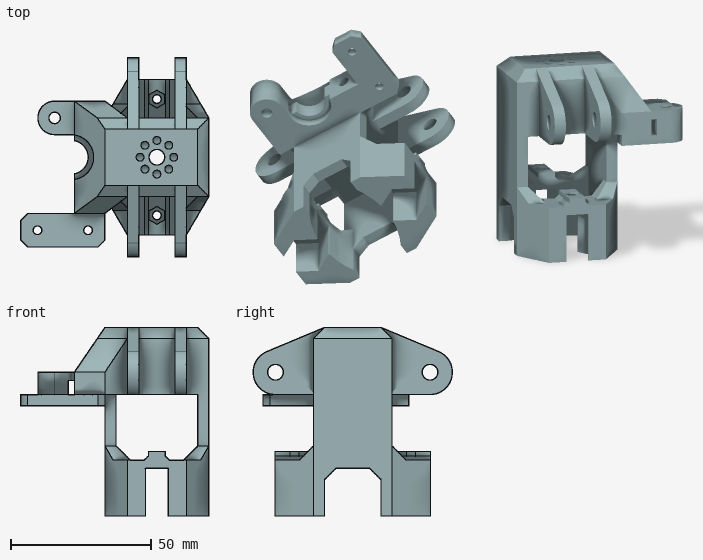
import cadquery as cq
import math

total_height = 67.25
body_half_x = 18.5
body_half_y = 14.0
wall = 4.0
inner_half_x = body_half_x - wall

head_height = 24.0
head_bottom = total_height - head_height
head_bevel = 4.0
head_top_half_y = body_half_y - head_bevel

arm_half_y = 20.0
arm_front_x = -29.4
arm_bottom = head_bottom - wall
arm_height = 12.0
arm_top = arm_bottom + arm_height
arm_back_x = -10.5

base_top = 20.0
base_end_half_x = 10.5
base_half_y = 27.7
flare = 5.0
tunnel_top = 17.0
tunnel_half_x = 4.0
tunnel_half_y = 10.0
tunnel_bevel = 4.0
well_half_y = 13.7
pocket_corner_radius = 8.0

ridge_top = 23.1
ridge_half_x = 3.0
ridge_foot = 1.45
nut_y = 20.7
nut_flats = 5.5
nut_depth = 3.1
screw_dia = 3.0

lug_inner_x = 6.4
lug_width = 4.1
lug_radius = 8.0
lug_hole_dia = 5.5
lug_hole_y = 27.5
lug_hole_z = head_bottom + lug_radius

groove_x = -30.5
groove_radius = 8.0
collar_radius = 6.0
seat_depth = 3.0
collar_bottom = arm_bottom + seat_depth
collar_height = 6.0
slot_front_x = -31.5

ear_radius = 6.0
ear_x = -36.4
ear_y = arm_half_y - ear_radius
clamp_dia = 4.0
clamp_end_x = -12.5

plate_front_x = -48.5
plate_width = 12.0
plate_bevel = 2.5
plate_hole_xs = (-42.5, -24.5)

top_bore_dia = 5.5
dimple_dia = 2.8
dimple_count = 8
dimple_circle_radius = 6.0


def box(x0, x1, y0, y1, z0, z1):
    return cq.Workplane("XY").box(x1 - x0, y1 - y0, z1 - z0, centered=False).translate((x0, y0, z0))


def cylinder(x, y, z0, z1, radius):
    return cq.Workplane("XY", origin=(x, y, z0)).circle(radius).extrude(z1 - z0)


def prism_z(points, z0, z1):
    return cq.Workplane("XY", origin=(0, 0, z0)).polyline(points).close().extrude(z1 - z0)


def prism_x(yz_points, x0, x1):
    return cq.Workplane("YZ", origin=(x0, 0, 0)).polyline(yz_points).close().extrude(x1 - x0)


def prism_y(xz_points, y0, y1):
    return cq.Workplane("XZ", origin=(0, y0, 0)).polyline(xz_points).close().extrude(y0 - y1)


def six_sided(mid_half_x, mid_half_y, end_half_x, end_half_y, z0, z1):
    """Prism with straight sides along Y in the middle and tapered ends."""
    quarter = [(mid_half_x, mid_half_y), (end_half_x, end_half_y)]
    right = [(x, -y) for x, y in reversed(quarter)] + quarter
    left = [(-x, -y) for x, y in right]
    return prism_z(right + left, z0, z1)


def head_and_arm():
    """Head block and arm, cut under one roof that slopes to the sides and to -X."""
    head = box(-body_half_x, body_half_x, -body_half_y, body_half_y, head_bottom, total_height)
    right = [(arm_front_x, -arm_half_y), (-body_half_x, -arm_half_y), (arm_back_x, -body_half_y)]
    left = [(x, -y) for x, y in reversed(right)]
    arm = prism_z(right + left, head_bottom, total_height)
    toe = box(arm_front_x, -body_half_x, -arm_half_y, arm_half_y, arm_bottom, head_bottom)
    bevel_z = total_height - head_bevel
    roof_right = [(arm_half_y, arm_bottom), (arm_half_y, arm_top),
                  (body_half_y, bevel_z), (head_top_half_y, total_height)]
    roof_left = [(-y, z) for y, z in reversed(roof_right)]
    cross_roof = prism_x(roof_right + roof_left, arm_front_x, body_half_x)
    long_roof = prism_y([(arm_front_x, arm_bottom), (body_half_x, arm_bottom), (body_half_x, bevel_z),
                         (body_half_x - head_bevel, total_height), (-body_half_x, total_height),
                         (arm_front_x, arm_top)], -arm_half_y, arm_half_y)
    return head.union(arm).union(toe).intersect(cross_roof).intersect(long_roof)


def flared_foot(side):
    """Wall foot widening downwards at 45 degrees; side is -1 or +1 along X."""
    center_x = side * (body_half_x + inner_half_x) / 2
    return (cq.Workplane("XY", origin=(center_x, 0, base_top + flare))
            .rect(wall, 2 * body_half_y)
            .workplane(offset=-flare)
            .rect(wall + 2 * flare, 2 * (body_half_y + flare))
            .loft(ruled=True))


def central_well():
    """Opening between the walls, with bowed ends, through the full height of the base."""
    return (cq.Workplane("XY")
            .moveTo(-inner_half_x, -tunnel_half_y)
            .threePointArc((0, -well_half_y), (inner_half_x, -tunnel_half_y))
            .lineTo(inner_half_x, tunnel_half_y)
            .threePointArc((0, well_half_y), (-inner_half_x, tunnel_half_y))
            .close().extrude(head_bottom))


def base():
    """Base with the two walls rising from it, hollow inside and open through the middle."""
    outline = six_sided(body_half_x, body_half_y, base_end_half_x, base_half_y, 0, base_top + flare)
    body = six_sided(body_half_x, body_half_y, base_end_half_x, base_half_y, 0, base_top)
    for side in (-1, 1):
        body = body.union(flared_foot(side).intersect(outline))
    foot_half_x = ridge_half_x + ridge_foot
    ridge_right = [(foot_half_x, base_top), (ridge_half_x, base_top + ridge_foot), (ridge_half_x, ridge_top)]
    ridge_left = [(-x, z) for x, z in reversed(ridge_right)]
    body = body.union(prism_y(ridge_right + ridge_left, -base_half_y, base_half_y))
    body = body.cut(central_well())
    body = body.cut(box(-tunnel_half_x, tunnel_half_x, -base_half_y, base_half_y, 0, tunnel_top))
    for y in (-nut_y, nut_y):
        pocket = cq.Workplane("XY", origin=(0, y, 0)).polygon(6, 2 * pocket_corner_radius).extrude(tunnel_top)
        body = body.cut(pocket)
    for side in (-1, 1):
        near, far = sorted((side * inner_half_x, side * body_half_x))
        body = body.union(box(near, far, -body_half_y, body_half_y, base_top, head_bottom))
    opening_right = [(tunnel_half_y, 0), (tunnel_half_y, tunnel_top - tunnel_bevel),
                     (tunnel_half_y - tunnel_bevel, tunnel_top)]
    opening_left = [(-y, z) for y, z in reversed(opening_right)]
    return body.cut(prism_x(opening_right + opening_left, -body_half_x, body_half_x))


def nut_seat(y):
    """Hexagonal nut recess in a ridge, with its screw hole below."""
    corner_dia = nut_flats / math.cos(math.pi / 6)
    recess = (cq.Workplane("XY", origin=(0, y, ridge_top))
              .transformed(rotate=(0, 0, 90))
              .polygon(6, corner_dia).extrude(-nut_depth))
    return recess.union(cylinder(0, y, 0, ridge_top, screw_dia / 2))


def lug(x0, side):
    """Hinge lug whose top edge runs from the roof edge tangent to the round end."""
    rise = total_height - lug_hole_z
    run = lug_hole_y - head_top_half_y
    reach = math.hypot(run, rise)
    tangent_angle = math.pi - math.atan2(rise, run) - math.acos(lug_radius / reach)
    tangent = (lug_hole_y + lug_radius * math.cos(tangent_angle),
               lug_hole_z + lug_radius * math.sin(tangent_angle))
    shape = (cq.Workplane("YZ", origin=(x0, 0, 0))
             .moveTo(head_top_half_y, head_bottom)
             .lineTo(head_top_half_y, total_height)
             .lineTo(*tangent)
             .threePointArc((lug_hole_y + lug_radius, lug_hole_z), (lug_hole_y, head_bottom))
             .close().extrude(lug_width))
    hole = (cq.Workplane("YZ", origin=(x0, 0, 0))
            .center(lug_hole_y, lug_hole_z).circle(lug_hole_dia / 2).extrude(lug_width))
    shape = shape.cut(hole)
    return shape if side > 0 else shape.mirror("XZ")


def ear():
    """Round-ended clamp ear whose root blends into the groove seat."""
    block = box(ear_x, arm_front_x, ear_y - ear_radius, ear_y + ear_radius, arm_bottom, arm_top)
    root = box(groove_x, arm_front_x, collar_radius, ear_y, arm_bottom, arm_top)
    block = block.union(root).union(cylinder(ear_x, ear_y, arm_bottom, arm_top, ear_radius))
    return block.cut(cylinder(ear_x, ear_y, arm_bottom, arm_top, clamp_dia / 2))


def groove_mount():
    """Round seat with a narrower collar, and the plate slot in front of the collar."""
    collar_top = collar_bottom + collar_height
    seat = cylinder(groove_x, 0, arm_bottom, collar_bottom, groove_radius)
    seat = seat.union(cylinder(groove_x, 0, collar_bottom, collar_top, collar_radius))
    seat = seat.union(cylinder(groove_x, 0, collar_top, total_height, groove_radius))
    return seat.union(box(slot_front_x, arm_front_x, -arm_half_y, arm_half_y, collar_bottom, collar_top))


def clamp_hole():
    """Blind hole along X whose outer half ends on a slope parallel to the arm's diagonal side."""
    center_z = (arm_bottom + arm_top) / 2
    hole = (cq.Workplane("YZ", origin=(arm_front_x, -ear_y, center_z))
            .circle(clamp_dia / 2).extrude(clamp_end_x - arm_front_x))
    slope_run = arm_back_x + body_half_x
    slope_rise = arm_half_y - body_half_y
    skin = prism_z([(clamp_end_x, -ear_y), (clamp_end_x - slope_run, -ear_y - slope_rise),
                    (clamp_end_x, -ear_y - slope_rise)], arm_bottom, arm_top)
    return hole.cut(skin)


def plate():
    """Flat mounting plate beside the arm, with three free corners bevelled."""
    y_out = -arm_half_y - plate_width
    shape = box(plate_front_x, -body_half_x, y_out, -arm_half_y, arm_bottom, head_bottom)
    shape = shape.edges("|Z and (<X or <Y)").chamfer(plate_bevel)
    for x in plate_hole_xs:
        shape = shape.cut(cylinder(x, -arm_half_y - plate_width / 2, arm_bottom, head_bottom, screw_dia / 2))
    return shape


def top_bores():
    """Through bore ringed by hemispherical dimples."""
    bores = cylinder(0, 0, head_bottom, total_height, top_bore_dia / 2)
    for i in range(dimple_count):
        angle = 2 * math.pi * i / dimple_count
        x = dimple_circle_radius * math.cos(angle)
        y = dimple_circle_radius * math.sin(angle)
        bores = bores.union(cq.Workplane("XY", origin=(x, y, total_height)).sphere(dimple_dia / 2))
    return bores


result = base().union(head_and_arm()).union(ear()).union(plate())
for lug_x in (-lug_inner_x - lug_width, lug_inner_x):
    for lug_side in (-1, 1):
        result = result.union(lug(lug_x, lug_side))
for seat_y in (-nut_y, nut_y):
    result = result.cut(nut_seat(seat_y))
result = result.cut(groove_mount()).cut(clamp_hole()).cut(top_bores())